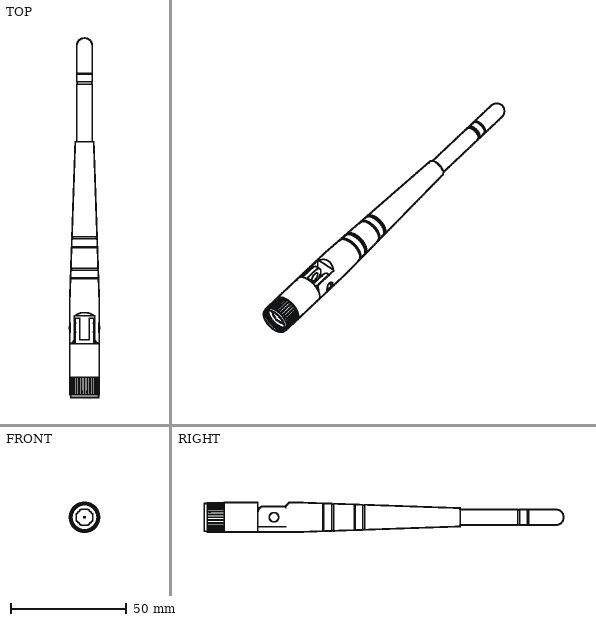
import cadquery as cq
import math

LENGTH = 155.7
BODY_DIAMETER = 13.0
BODY_RADIUS = BODY_DIAMETER / 2

ROD_RADIUS = 3.5
TAPER_TOP_RADIUS = 4.0
TAPER_TOP_Y = 110.9
TAPER_BOTTOM_Y = 41.5
GROOVE_DEPTH = 0.23
NARROW_GROOVE = 0.5
WIDE_GROOVE = 1.0
NARROW_GROOVE_STARTS = [51.4, 65.0, 140.0]
WIDE_GROOVE_STARTS = [55.1, 68.7, 135.8]

FORK_END_Y = 23.2
FORK_TIP_ROUNDING = 3.3
FORK_TIP_TOP_Z = 5.1
SLOT_WIDTH = 8.9
SLOT_END_Y = 35.3
SLOT_SLOPE_Z = 5.0
PIVOT_Y = 30.2
KNUCKLE_WIDTH = 8.0
KNUCKLE_RADIUS = 4.2
LUG_GAP = 4.0
LUG_GAP_START_Y = 25.0
PIN_RADIUS = 2.0
PIN_REACH = 6.5
PIN_DOME_HEIGHT = 1.1
SIDES = (-1, 1)

NECK_LENGTH = 1.2
NECK_RADIUS = 6.0
KNURL_RADIUS = 6.4
NOTCH_COUNT = 32
NOTCH_DEPTH = 0.2
NOTCH_WIDTH = 0.2
KNURL_BANDS = [(1.9, 7.0), (7.5, 8.7)]
MOUTH_RADIUS = 5.8
MOUTH_DEPTH = 1.5
BORE_RADIUS = 5.5
BORE_DEPTH = 4.7
BORE_GROOVE_START = 2.2
BORE_GROOVE_WIDTH = 0.5
CORE_SIDES = 8
CORE_WIDTH = 7.0
CORE_FACE_Y = 3.3
CONTACT_RADIUS = 0.3
CONTACT_DEPTH = 1.5


def cylinder(radius, y_start, y_end):
    """A cylinder on the antenna axis."""
    return cq.Workplane("XZ", origin=(0, y_start, 0)).circle(radius).extrude(y_start - y_end)


def side_profile(width):
    """A sketch plane seen along X, placed so that extruding by width is centred on the axis."""
    return cq.Workplane("YZ", origin=(-width / 2, 0, 0))


def whip_radius(y):
    if y > TAPER_TOP_Y:
        return ROD_RADIUS
    fraction = (y - TAPER_BOTTOM_Y) / (TAPER_TOP_Y - TAPER_BOTTOM_Y)
    return BODY_RADIUS + fraction * (TAPER_TOP_RADIUS - BODY_RADIUS)


def whip_groove(start, width):
    end = start + width
    floor_radius = whip_radius(start + width / 2) - GROOVE_DEPTH
    return cylinder(BODY_RADIUS, start, end).cut(cylinder(floor_radius, start, end))


def whip_blank():
    half_outline = (
        cq.Workplane("XY")
        .moveTo(0, FORK_END_Y)
        .lineTo(BODY_RADIUS, FORK_END_Y)
        .lineTo(BODY_RADIUS, TAPER_BOTTOM_Y)
        .lineTo(TAPER_TOP_RADIUS, TAPER_TOP_Y)
        .lineTo(ROD_RADIUS, TAPER_TOP_Y)
        .lineTo(ROD_RADIUS, LENGTH - ROD_RADIUS)
        .radiusArc((0, LENGTH), -ROD_RADIUS)
        .close()
    )
    return half_outline.revolve(360, (0, 0, 0), (0, 1, 0))


def fork_slot():
    """The slot between the fork arms, flat-floored, with a 45-degree slope at the top of its end wall."""
    slope_run = BODY_RADIUS - SLOT_SLOPE_Z
    return (
        side_profile(SLOT_WIDTH)
        .moveTo(FORK_END_Y, -KNUCKLE_RADIUS)
        .lineTo(SLOT_END_Y, -KNUCKLE_RADIUS)
        .lineTo(SLOT_END_Y, SLOT_SLOPE_Z)
        .lineTo(SLOT_END_Y + slope_run, BODY_RADIUS)
        .lineTo(FORK_END_Y, BODY_RADIUS)
        .close()
        .extrude(SLOT_WIDTH)
    )


def fork_tip_relief():
    """The material rounded away from the upper corners of the fork tips."""
    width = 2 * BODY_RADIUS
    arc_end_y = FORK_END_Y + FORK_TIP_ROUNDING
    return (
        side_profile(width)
        .moveTo(FORK_END_Y, FORK_TIP_TOP_Z - FORK_TIP_ROUNDING)
        .radiusArc((arc_end_y, FORK_TIP_TOP_Z), FORK_TIP_ROUNDING)
        .lineTo(arc_end_y, BODY_RADIUS)
        .lineTo(FORK_END_Y, BODY_RADIUS)
        .close()
        .extrude(width)
    )


def pin_hole(side):
    start = cq.Workplane("YZ", origin=(side * LUG_GAP / 2, PIVOT_Y, 0))
    return start.circle(PIN_RADIUS).extrude(side * BODY_RADIUS)


def make_whip():
    whip = whip_blank()
    for start in NARROW_GROOVE_STARTS:
        whip = whip.cut(whip_groove(start, NARROW_GROOVE))
    for start in WIDE_GROOVE_STARTS:
        whip = whip.cut(whip_groove(start, WIDE_GROOVE))
    whip = whip.cut(fork_slot()).cut(fork_tip_relief())
    for side in SIDES:
        whip = whip.cut(pin_hole(side))
    return whip


def make_pin(side):
    """A dome-headed pin through one fork arm and one lug; side is -1 or 1 along X."""
    rim_x = PIN_REACH - PIN_DOME_HEIGHT
    dome_radius = (PIN_RADIUS**2 + PIN_DOME_HEIGHT**2) / (2 * PIN_DOME_HEIGHT)
    half_outline = (
        cq.Workplane("XY", origin=(0, PIVOT_Y, 0))
        .moveTo(side * LUG_GAP / 2, 0)
        .lineTo(side * LUG_GAP / 2, PIN_RADIUS)
        .lineTo(side * rim_x, PIN_RADIUS)
        .radiusArc((side * PIN_REACH, 0), side * dome_radius)
        .close()
    )
    return half_outline.revolve(360, (0, 0, 0), (1, 0, 0))


def knuckle():
    """The round-ended tongue of the base, split into two lugs."""
    tongue = (
        side_profile(KNUCKLE_WIDTH)
        .moveTo(FORK_END_Y, -KNUCKLE_RADIUS)
        .lineTo(PIVOT_Y, -KNUCKLE_RADIUS)
        .threePointArc((PIVOT_Y + KNUCKLE_RADIUS, 0), (PIVOT_Y, KNUCKLE_RADIUS))
        .lineTo(FORK_END_Y, KNUCKLE_RADIUS)
        .close()
        .extrude(KNUCKLE_WIDTH)
    )
    gap_length = PIVOT_Y + KNUCKLE_RADIUS - LUG_GAP_START_Y
    gap = cq.Workplane("XY", origin=(0, LUG_GAP_START_Y, 0)).box(
        LUG_GAP, gap_length, 2 * KNUCKLE_RADIUS, centered=(True, False, True)
    )
    return tongue.cut(gap)


def knurl_notches(start, end):
    return (
        cq.Workplane("XZ", origin=(0, start, 0))
        .polarArray(KNURL_RADIUS, 0, 360, NOTCH_COUNT)
        .rect(2 * NOTCH_DEPTH, NOTCH_WIDTH)
        .extrude(start - end)
    )


def connector_bore():
    """The stepped and grooved bore, less the octagonal core that stands on its floor."""
    bore = cylinder(BORE_RADIUS, 0, BORE_DEPTH).union(cylinder(MOUTH_RADIUS, 0, MOUTH_DEPTH))
    groove = cylinder(MOUTH_RADIUS, BORE_GROOVE_START, BORE_GROOVE_START + BORE_GROOVE_WIDTH)
    bore = bore.union(groove)
    core_corner_diameter = CORE_WIDTH / math.cos(math.pi / CORE_SIDES)
    core = (
        cq.Workplane("XZ", origin=(0, CORE_FACE_Y, 0))
        .transformed(rotate=(0, 0, math.degrees(math.pi / CORE_SIDES)))
        .polygon(CORE_SIDES, core_corner_diameter)
        .extrude(CORE_FACE_Y - BORE_DEPTH)
    )
    contact_hole = cylinder(CONTACT_RADIUS, CORE_FACE_Y, CORE_FACE_Y + CONTACT_DEPTH)
    return bore.cut(core).union(contact_hole)


def make_base():
    knurl_end_y = KNURL_BANDS[-1][1]
    base = cylinder(KNURL_RADIUS, NECK_LENGTH, knurl_end_y)
    base = base.union(cylinder(BODY_RADIUS, knurl_end_y, FORK_END_Y))
    for start, end in KNURL_BANDS:
        base = base.cut(knurl_notches(start, end))
    base = base.union(cylinder(NECK_RADIUS, 0, NECK_LENGTH)).union(knuckle())
    base = base.cut(connector_bore())
    for side in SIDES:
        base = base.cut(pin_hole(side))
    return base


whip = make_whip()
base = make_base()
pins = [make_pin(side) for side in SIDES]
result = cq.Compound.makeCompound([whip.val(), base.val(), *[pin.val() for pin in pins]])